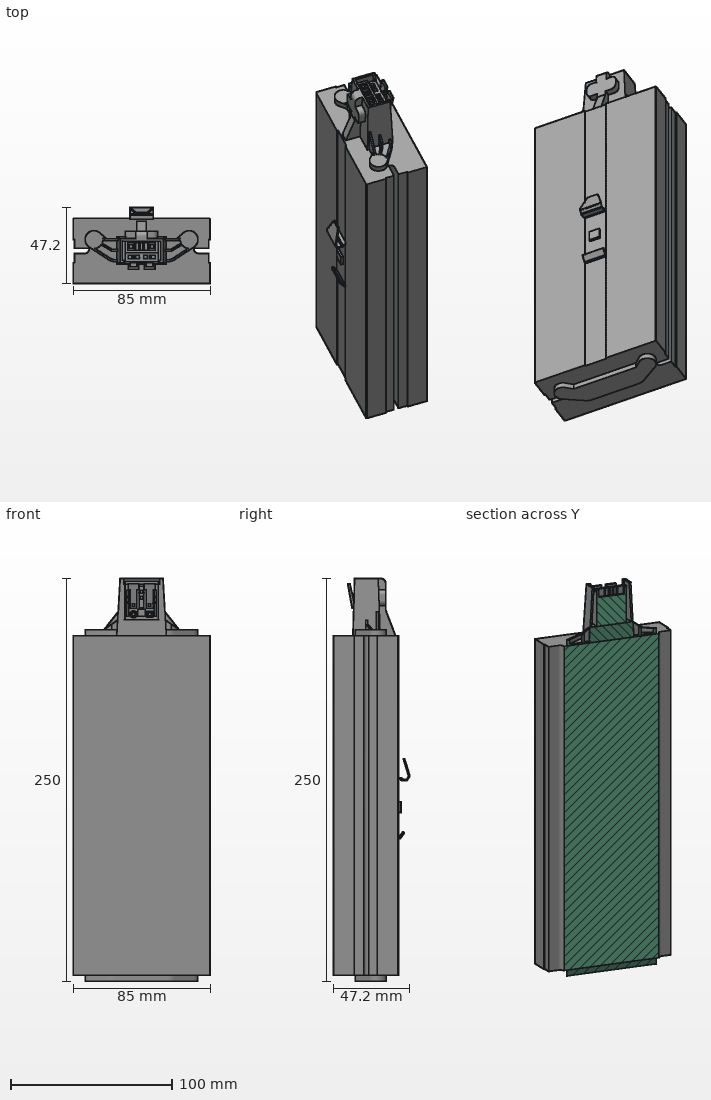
import cadquery as cq
import math


HOUSING_WIDTH = 85.0
HOUSING_DEPTH = 40.5
HOUSING_HEIGHT = 210.8
CAP_THICKNESS = 3.8
HOUSING_TOP = CAP_THICKNESS + HOUSING_HEIGHT
OVERALL_HEIGHT = 250.0
OVERALL_DEPTH = 47.2
SIDE_STEP_DEPTH = 0.8
SIDE_STEP_FRONT = 13.0
SIDE_STEP_BACK = 27.2
SLOT_DEPTH = 10.0
SLOT_FRONT = 18.8
SLOT_BACK = 21.8
SLOT_CORNER_RADIUS = 2.8
BACK_EDGE_CHAMFER = 0.5

CAP_FRONT = 13.5
CAP_BACK = 27.8
KNEE_X = 18.5
KNEE_RADIUS = 7.5
WAIST_X = 21.8
DISC_X = 29.5
DISC_Y = 27.2
DISC_RADIUS = 5.5
CAP_RIM = 1.2
CAP_FLOOR = 1.0
CAP_TOP = HOUSING_TOP + CAP_THICKNESS

GUSSET_THICKNESS = 1.2
GUSSET_TIP_X = 23.2
BACK_GUSSET_RISE = 10.0
FRONT_GUSSET_RISE = 5.5
GUSSET_ROOT_X = 12.5
GUSSET_END_X = 25.2
BACK_GUSSET_Y = CAP_BACK - GUSSET_THICKNESS / 2
BACK_GUSSET_PATH = [(GUSSET_ROOT_X, BACK_GUSSET_Y), (GUSSET_END_X, BACK_GUSSET_Y)]
FRONT_GUSSET_PATH = [(GUSSET_ROOT_X, 20.5), (18.5, 20.8), (GUSSET_END_X, 24.8)]

SOCKET_BASE_WIDTH = 30.8
SOCKET_BASE_FRONT = 12.0
SOCKET_BASE_BACK = 29.0
SOCKET_TOP_WIDTH = 26.8
SOCKET_TOP_FRONT = 13.0
SOCKET_TOP_BACK = 27.8
SOCKET_WALL = 1.5
WINDOW_WIDTH = 21.0
WINDOW_BOTTOM = 224.5
WINDOW_MOUTH_WIDTH = 22.2
WINDOW_MOUTH_HEIGHT = 3.8

LATCH_BACK = 32.5
WING_WIDTH = 20.0
WING_BOTTOM = 233.0
WING_TOP = 243.0
WING_CORNER_DIAMETER = 6.2
POST_WIDTH = 7.0
POST_TOP_RADIUS = 3.2
BUTTRESS_WIDTH = 5.8
BUTTRESS_FOOT_BACK = 38.5
BUTTRESS_TOP = 230.2

BLOCK_WIDTH = 20.5
BLOCK_FRONT = 13.5
BLOCK_STEP_Y = 19.0
BLOCK_FRONT_TOP = 246.2
BLOCK_BACK_TOP = 248.2
SIDE_GROOVE_X = 8.5
SIDE_GROOVE_WIDTH = 1.2
SIDE_GROOVE_DEPTH = 1.0
SIDE_GROOVES_Z = [(226.5, 234.5), (235.5, 238.0), (239.0, 242.5)]
CENTER_PLATE_WIDTH = 4.8
CENTER_PLATE_BOTTOM = 226.5
CENTER_PLATE_TOP = 231.0
CENTER_PLATE_THICKNESS = 0.5
CENTER_SLOT_WIDTH = 3.0
CENTER_SLOT_DEPTH = 2.5
CENTER_SLOT_BOTTOM = 231.8
CENTER_SLOT_TOP = 245.0
LATCH_TONGUE_SIZE = 1.8
LATCH_TONGUES_Z = (238.0, 241.8)

LEVER_X = 5.0
LEVER_WIDTH = 4.2
LEVER_HEAD_WIDTH = 6.8
LEVER_THICKNESS = 1.5
LEVER_BOTTOM = 231.5
LEVER_TOP = 246.8
LEVER_HEAD_BOTTOM = 243.0
LEVER_TIP_FRONT = 8.8
LEVER_FOOT_FRONT = 11.5
LEVER_NOTCH_SIZE = 1.5
LEVER_NOTCH_Z = 233.5
PORT_Z = 227.8
PORT_DIAMETER = 4.2
PORT_INNER_DIAMETER = 2.2
PORT_DEPTH = 2.0
SQUARE_PORT_SIZE = 3.8
SQUARE_PORT_INNER_SIZE = 2.0

TEST_HOLE_SIZE = 2.2
TEST_HOLES_X = (2.5, 7.2)
TEST_HOLE_Y = 16.5
TEST_GROOVE_WIDTH = 0.5
OPENING_DEPTH = 5.0
PIN_SLOT_FRONT = 20.5
PIN_SLOT_BACK = 25.2
CENTER_PIN_SLOT_WIDTH = 1.5
INNER_PIN_SLOT_X = 2.8
INNER_PIN_SLOT_WIDTH = 2.0
OUTER_PIN_SLOT_X = 6.5
OUTER_PIN_SLOT_WIDTH = 4.0
PIN_WIDTH = 2.0
PIN_FRONT = 21.8
PIN_BACK = 24.0

CLIP_WIDTH = 14.5
CLIP_SEAT_DEPTH = 0.8
CLIP_SHEET = 0.88
CLIP_BOTTOM = 88.5
CLIP_TOP = 126.2
CLIP_LIP_TIP_WIDTH = 7.0
CLIP_LIP_BOTTOM = 128.0
CLIP_LIP_TOP = 138.2
CLIP_LIP_TIP_Y = 43.2
CLIP_HOOK_BOTTOM = 124.5
CLIP_TOOTH_TOP = 93.0
CLIP_TOOTH_BACK = 44.0
CLIP_PAD_BOTTOM = 104.8
CLIP_PAD_TOP = 111.5
CLIP_PAD_BACK = 42.0


def box(x_range, y_range, z_range):
    """Axis-aligned block between the given limits."""
    size = [high - low for low, high in (x_range, y_range, z_range)]
    return cq.Workplane("XY").box(*size, centered=False).translate((x_range[0], y_range[0], z_range[0]))


def centered_box(width, y_range, z_range, x=0.0):
    return box((x - width / 2, x + width / 2), y_range, z_range)


def side_prism(points, width, x=0.0):
    """Extrude a (Y, Z) outline symmetrically about the plane at x."""
    return cq.Workplane("YZ").polyline(points).close().extrude(width / 2, both=True).translate((x, 0, 0))


def with_mirror(solid):
    return solid.union(solid.mirror("YZ"))


def tangent_point(outside, side):
    """Point where a line from `outside` touches the disc; side +1 is its front, -1 its back."""
    dx = outside[0] - DISC_X
    dy = outside[1] - DISC_Y
    angle = math.atan2(dy, dx) + side * math.acos(DISC_RADIUS / math.hypot(dx, dy))
    return (DISC_X + DISC_RADIUS * math.cos(angle), DISC_Y + DISC_RADIUS * math.sin(angle))



def make_housing():
    half = HOUSING_WIDTH / 2
    z_range = (CAP_THICKNESS, HOUSING_TOP)
    body = centered_box(HOUSING_WIDTH, (0, HOUSING_DEPTH), z_range)
    body = body.edges("|Z and >Y").chamfer(BACK_EDGE_CHAMFER)

    step = box((half - SIDE_STEP_DEPTH, half), (SIDE_STEP_FRONT, SIDE_STEP_BACK), z_range)
    slot = box((half - SLOT_DEPTH, half), (SLOT_FRONT, SLOT_BACK), z_range)
    slot = slot.edges("|Z and <X and <Y").fillet(SLOT_CORNER_RADIUS)
    clip_seat = centered_box(CLIP_WIDTH, (HOUSING_DEPTH - CLIP_SEAT_DEPTH, HOUSING_DEPTH), z_range)
    return body.cut(with_mirror(step)).cut(with_mirror(slot)).cut(clip_seat)



def disc():
    return cq.Workplane("XY").center(DISC_X, DISC_Y).circle(DISC_RADIUS).extrude(CAP_THICKNESS)


def cap_plate():
    """Flat plate with a rounded ear on each arm, its underside at Z = 0."""
    knee = (KNEE_X, CAP_FRONT)
    waist = (WAIST_X, CAP_BACK)
    right_side = [knee, tangent_point(knee, 1), (DISC_X, DISC_Y), tangent_point(waist, -1), waist]
    left_side = [(-x, y) for x, y in reversed(right_side)]
    arms = cq.Workplane("XY").polyline(right_side + left_side).close().extrude(CAP_THICKNESS)
    arms = arms.edges("|Z and <Y").fillet(KNEE_RADIUS)
    return arms.union(with_mirror(disc()))


def hollowed_cap_plate():
    """Cap plate with the arms sunk between the rim and the full-height discs."""
    plate = cap_plate()
    rim = plate.faces(">Z").wires().toPending().offset2D(-CAP_RIM)
    pocket = rim.extrude(CAP_FLOOR - CAP_THICKNESS, combine=False)
    return plate.cut(pocket.cut(with_mirror(disc())))


def gusset(path, rise):
    """Upright rib along a plan path, its top sloping from the socket down to the disc."""
    inner = [(x, y - GUSSET_THICKNESS / 2) for x, y in path]
    outer = [(x, y + GUSSET_THICKNESS / 2) for x, y in reversed(path)]
    wall = cq.Workplane("XY").polyline(inner + outer).close().extrude(OVERALL_HEIGHT)
    slope = rise / (GUSSET_TIP_X - SOCKET_BASE_WIDTH / 2)
    profile = [
        (GUSSET_ROOT_X, HOUSING_TOP),
        (GUSSET_END_X, HOUSING_TOP),
        (GUSSET_END_X, CAP_TOP),
        (GUSSET_TIP_X, CAP_TOP),
        (GUSSET_ROOT_X, CAP_TOP + slope * (GUSSET_TIP_X - GUSSET_ROOT_X)),
    ]
    side = cq.Workplane("XZ").polyline(profile).close().extrude(-HOUSING_DEPTH)
    return wall.intersect(side)


def tapered_box(inset=0.0):
    """Socket outline, or its hollow when inset by the wall thickness."""
    base_depth = SOCKET_BASE_BACK - SOCKET_BASE_FRONT
    top_depth = SOCKET_TOP_BACK - SOCKET_TOP_FRONT
    base_middle = (SOCKET_BASE_BACK + SOCKET_BASE_FRONT) / 2
    top_middle = (SOCKET_TOP_BACK + SOCKET_TOP_FRONT) / 2
    return (
        cq.Workplane("XY", origin=(0, base_middle, HOUSING_TOP))
        .rect(SOCKET_BASE_WIDTH - 2 * inset, base_depth - 2 * inset)
        .workplane(offset=OVERALL_HEIGHT - HOUSING_TOP)
        .center(0, top_middle - base_middle)
        .rect(SOCKET_TOP_WIDTH - 2 * inset, top_depth - 2 * inset)
        .loft()
    )


def latch():
    """Rounded wings, round-topped post and sloping buttress behind the socket."""
    root = SOCKET_TOP_BACK - SOCKET_WALL
    wings = centered_box(WING_WIDTH, (root, LATCH_BACK), (WING_BOTTOM, WING_TOP))
    wings = wings.edges("|Y").fillet(WING_CORNER_DIAMETER / 2)
    post = centered_box(POST_WIDTH, (root, LATCH_BACK), (WING_BOTTOM, OVERALL_HEIGHT))
    post = post.edges("|X and >Y and >Z").fillet(POST_TOP_RADIUS)
    buttress = side_prism(
        [
            (root, HOUSING_TOP),
            (BUTTRESS_FOOT_BACK, HOUSING_TOP),
            (LATCH_BACK, BUTTRESS_TOP),
            (LATCH_BACK, WING_BOTTOM),
            (root, WING_BOTTOM),
        ],
        BUTTRESS_WIDTH,
    )
    return wings.union(post).union(buttress)


def socket_hollow():
    front_wall = (0, SOCKET_TOP_FRONT + SOCKET_WALL)
    cavity = tapered_box(SOCKET_WALL).intersect(
        centered_box(HOUSING_WIDTH, (0, HOUSING_DEPTH), (WINDOW_BOTTOM, OVERALL_HEIGHT))
    )
    window = centered_box(WINDOW_WIDTH, front_wall, (WINDOW_BOTTOM, OVERALL_HEIGHT))
    mouth_bottom = OVERALL_HEIGHT - WINDOW_MOUTH_HEIGHT
    mouth = centered_box(WINDOW_MOUTH_WIDTH, front_wall, (mouth_bottom, OVERALL_HEIGHT))
    return cavity.union(window).union(mouth)


def make_socket_cap():
    cap = hollowed_cap_plate().translate((0, 0, HOUSING_TOP))
    cap = cap.union(with_mirror(gusset(BACK_GUSSET_PATH, BACK_GUSSET_RISE)))
    cap = cap.union(with_mirror(gusset(FRONT_GUSSET_PATH, FRONT_GUSSET_RISE)))
    return cap.union(tapered_box()).union(latch()).cut(socket_hollow())


def make_bottom_cap():
    return cap_plate()



def lever(x):
    """Tilted release lever with a wider head and a notched foot on the front of the block."""
    foot_top = LEVER_BOTTOM + 2 * LEVER_THICKNESS
    blade = side_prism(
        [
            (BLOCK_FRONT, LEVER_BOTTOM),
            (LEVER_FOOT_FRONT, LEVER_BOTTOM),
            (LEVER_TIP_FRONT, LEVER_TOP),
            (LEVER_TIP_FRONT + LEVER_THICKNESS, LEVER_TOP),
            (LEVER_FOOT_FRONT + LEVER_THICKNESS, foot_top),
            (BLOCK_FRONT, foot_top),
        ],
        LEVER_HEAD_WIDTH,
        x,
    )
    stem = centered_box(LEVER_WIDTH, (0, HOUSING_DEPTH), (LEVER_BOTTOM, LEVER_HEAD_BOTTOM), x)
    head = centered_box(LEVER_HEAD_WIDTH, (0, HOUSING_DEPTH), (LEVER_HEAD_BOTTOM, LEVER_TOP), x)
    half_notch = LEVER_NOTCH_SIZE / 2
    notch = centered_box(
        LEVER_NOTCH_SIZE, (0, BLOCK_FRONT), (LEVER_NOTCH_Z - half_notch, LEVER_NOTCH_Z + half_notch), x
    )
    return blade.intersect(stem.union(head)).cut(notch)


def round_port(x):
    """Funnel-shaped wire entry."""
    return (
        cq.Workplane("XZ", origin=(x, BLOCK_FRONT, PORT_Z))
        .circle(PORT_DIAMETER / 2)
        .workplane(offset=-PORT_DEPTH)
        .circle(PORT_INNER_DIAMETER / 2)
        .loft()
    )


def square_port(x):
    """Square wire entry that narrows inward."""
    return (
        cq.Workplane("XZ", origin=(x, BLOCK_FRONT, PORT_Z))
        .rect(SQUARE_PORT_SIZE, SQUARE_PORT_SIZE)
        .workplane(offset=-PORT_DEPTH)
        .rect(SQUARE_PORT_INNER_SIZE, SQUARE_PORT_INNER_SIZE)
        .loft()
    )


def test_openings():
    """Square test holes and the thin grooves between them."""
    hole_range = (TEST_HOLE_Y - TEST_HOLE_SIZE / 2, TEST_HOLE_Y + TEST_HOLE_SIZE / 2)
    z_range = (BLOCK_FRONT_TOP - OPENING_DEPTH, BLOCK_FRONT_TOP)
    openings = centered_box(TEST_GROOVE_WIDTH, hole_range, z_range, sum(TEST_HOLES_X) / 2)
    for x in TEST_HOLES_X:
        openings = openings.union(centered_box(TEST_HOLE_SIZE, hole_range, z_range, x))
    return with_mirror(openings)


def pin_slots():
    """Row of slots behind the step; the outer ones keep a contact pin in the middle."""
    slot_range = (PIN_SLOT_FRONT, PIN_SLOT_BACK)
    z_range = (BLOCK_BACK_TOP - OPENING_DEPTH, BLOCK_BACK_TOP)
    pin = centered_box(PIN_WIDTH, (PIN_FRONT, PIN_BACK), z_range, OUTER_PIN_SLOT_X)
    outer = centered_box(OUTER_PIN_SLOT_WIDTH, slot_range, z_range, OUTER_PIN_SLOT_X).cut(pin)
    inner = centered_box(INNER_PIN_SLOT_WIDTH, slot_range, z_range, INNER_PIN_SLOT_X)
    center = centered_box(CENTER_PIN_SLOT_WIDTH, slot_range, z_range)
    return with_mirror(outer.union(inner)).union(center)


def side_grooves():
    """Short upright grooves along both sides of the front face."""
    depth_range = (BLOCK_FRONT, BLOCK_FRONT + SIDE_GROOVE_DEPTH)
    grooves = cq.Workplane("XY")
    for z_range in SIDE_GROOVES_Z:
        grooves = grooves.union(centered_box(SIDE_GROOVE_WIDTH, depth_range, z_range, SIDE_GROOVE_X))
    return with_mirror(grooves)


def center_slot():
    """Upright slot between the levers, bridged by small square tongues."""
    depth_range = (BLOCK_FRONT, BLOCK_FRONT + CENTER_SLOT_DEPTH)
    slot = centered_box(CENTER_SLOT_WIDTH, depth_range, (CENTER_SLOT_BOTTOM, CENTER_SLOT_TOP))
    half = LATCH_TONGUE_SIZE / 2
    for z in LATCH_TONGUES_Z:
        slot = slot.cut(centered_box(LATCH_TONGUE_SIZE, depth_range, (z - half, z + half)))
    return slot


def make_terminal_block():
    back = SOCKET_TOP_BACK - SOCKET_WALL
    block = centered_box(BLOCK_WIDTH, (BLOCK_FRONT, back), (WINDOW_BOTTOM, BLOCK_FRONT_TOP))
    raised_range = (BLOCK_STEP_Y, back)
    block = block.union(centered_box(BLOCK_WIDTH, raised_range, (WINDOW_BOTTOM, BLOCK_BACK_TOP)))
    block = block.cut(test_openings()).cut(pin_slots()).cut(side_grooves()).cut(center_slot())
    block = block.cut(round_port(-LEVER_X)).cut(square_port(LEVER_X))
    plate_range = (BLOCK_FRONT - CENTER_PLATE_THICKNESS, BLOCK_FRONT)
    plate_z_range = (CENTER_PLATE_BOTTOM, CENTER_PLATE_TOP)
    block = block.union(centered_box(CENTER_PLATE_WIDTH, plate_range, plate_z_range))
    return block.union(lever(-LEVER_X)).union(lever(LEVER_X))



def clip_hook():
    """Upper hook: a bend standing off the plate and a lip that leans back over it."""
    bend_back = OVERALL_DEPTH
    bend = side_prism(
        [
            (HOUSING_DEPTH, CLIP_TOP),
            (HOUSING_DEPTH, CLIP_TOP - CLIP_SHEET),
            (HOUSING_DEPTH + CLIP_SHEET, CLIP_TOP - CLIP_SHEET),
            (HOUSING_DEPTH + 2 * CLIP_SHEET, CLIP_HOOK_BOTTOM),
            (bend_back - 2 * CLIP_SHEET, CLIP_HOOK_BOTTOM),
            (bend_back, CLIP_LIP_BOTTOM - CLIP_SHEET),
            (bend_back, CLIP_LIP_BOTTOM),
            (bend_back - CLIP_SHEET, CLIP_LIP_BOTTOM),
            (bend_back - CLIP_SHEET, CLIP_LIP_BOTTOM - CLIP_SHEET),
            (bend_back - 2 * CLIP_SHEET, CLIP_HOOK_BOTTOM + CLIP_SHEET),
            (HOUSING_DEPTH + 3 * CLIP_SHEET, CLIP_HOOK_BOTTOM + CLIP_SHEET),
            (HOUSING_DEPTH + 2 * CLIP_SHEET, CLIP_TOP),
        ],
        CLIP_WIDTH,
    )
    lip = side_prism(
        [
            (bend_back, CLIP_LIP_BOTTOM),
            (CLIP_LIP_TIP_Y + CLIP_SHEET, CLIP_LIP_TOP),
            (CLIP_LIP_TIP_Y, CLIP_LIP_TOP),
            (bend_back - CLIP_SHEET, CLIP_LIP_BOTTOM),
        ],
        CLIP_WIDTH,
    )
    lip_taper = (
        cq.Workplane("XZ")
        .polyline(
            [
                (-CLIP_WIDTH / 2, CLIP_LIP_BOTTOM),
                (CLIP_WIDTH / 2, CLIP_LIP_BOTTOM),
                (CLIP_LIP_TIP_WIDTH / 2, CLIP_LIP_TOP),
                (-CLIP_LIP_TIP_WIDTH / 2, CLIP_LIP_TOP),
            ]
        )
        .close()
        .extrude(-OVERALL_DEPTH)
    )
    return bend.union(lip.intersect(lip_taper))


def make_rail_clip():
    seat_range = (HOUSING_DEPTH - CLIP_SEAT_DEPTH, HOUSING_DEPTH)
    plate = centered_box(CLIP_WIDTH, seat_range, (CLIP_BOTTOM, CLIP_TOP))
    pad = centered_box(CLIP_LIP_TIP_WIDTH, (HOUSING_DEPTH, CLIP_PAD_BACK), (CLIP_PAD_BOTTOM, CLIP_PAD_TOP))
    tooth = side_prism(
        [
            (HOUSING_DEPTH, CLIP_BOTTOM),
            (HOUSING_DEPTH + CLIP_SHEET, CLIP_BOTTOM),
            (CLIP_TOOTH_BACK, CLIP_TOOTH_TOP - CLIP_SHEET),
            (CLIP_TOOTH_BACK - CLIP_SHEET, CLIP_TOOTH_TOP),
            (HOUSING_DEPTH, CLIP_BOTTOM + CLIP_SHEET),
        ],
        CLIP_WIDTH,
    )
    return plate.union(clip_hook()).union(pad).union(tooth)


housing = make_housing()
socket_cap = make_socket_cap()
bottom_cap = make_bottom_cap()
terminal_block = make_terminal_block()
rail_clip = make_rail_clip()

result = cq.Compound.makeCompound(
    [
        housing.solids().val(),
        socket_cap.solids().val(),
        bottom_cap.solids().val(),
        terminal_block.solids().val(),
        rail_clip.solids().val(),
    ]
)